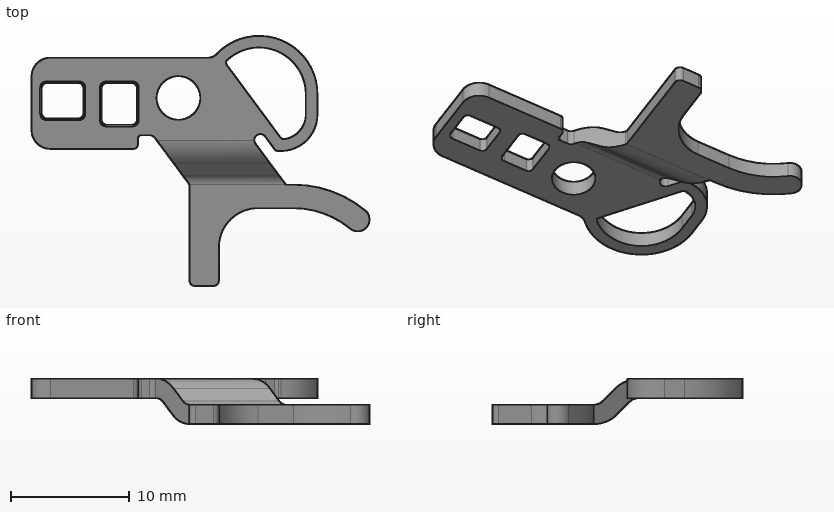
import cadquery as cq
import math


thickness = 1.65
step_down = 2.18
bend_angle = math.radians(45)
bend_inner_radius = 1.05
bend_outer_radius = bend_inner_radius + thickness
bend_start_y = -3.55
head_bottom_z = step_down
head_top_z = step_down + thickness

pivot_diameter = 3.66
head_left_x = -12.38
head_top_y = 3.4
head_bottom_y = -4.3
head_corner_radius = 1.6
notch_x = -3.4
notch_top_y = -3.15
notch_mouth_radius = 0.4
notch_root_radius = 0.25
strip_root_x = -2.14
strip_root_radius = 0.6

window_long = 3.5
window_short = 2.97
window_corner_radius = 0.42
window_chamfer = 0.16
window_top_y = 1.25
window_centers_x = (-9.75, -4.98)

loop_x = 6.79
loop_y = 0.31
loop_radius = 4.93
loop_wall = 1.0
loop_right_x = loop_x + loop_radius
loop_lower_radius = 3.1
loop_lower_x = loop_right_x - loop_lower_radius
loop_lower_y = -1.38
loop_lower_middle_angle = math.radians(-45)
loop_bottom_y = loop_lower_y - loop_lower_radius
loop_web_distance = 0.71
neck_radius = 1.0
loop_tip_radius = 0.4
loop_window_upper_radius = 0.3
loop_window_lower_radius = 0.4

slant_angle = math.radians(-53.5)
slant_x = math.cos(slant_angle)
slant_y = math.sin(slant_angle)
slot_width = 1.0
slot_length = 4.0

tail_left_x = 0.92
tail_width = 2.5
tail_bottom_y = -15.85
tail_corner_radius = 0.5
tail_shoulder_radius = 0.4
tail_inner_radius = 3.27
blade_top_y = -7.29
blade_width = 2.0
blade_bend_x = 9.68
blade_bend_radius = 8.5
blade_sweep = math.radians(39.6)


def slant_run(drop):
    """X travel of a slanted line that falls by drop."""
    return -drop * slant_x / slant_y


slot_axis_distance = loop_web_distance + loop_wall + slot_width / 2
slot_end_y = bend_start_y
slot_end_x = loop_x + slot_axis_distance / slant_y + slant_run(loop_y - slot_end_y)


def round_corner(body, corner, radius):
    """Fillet the vertical edge of body nearest to the corner (x, y)."""
    middle_z = body.val().BoundingBox().center.z
    selector = cq.selectors.NearestToPointSelector((corner[0], corner[1], middle_z))
    return body.edges("|Z").edges(selector).fillet(radius)


def polar(center_x, center_y, radius, angle):
    """Point at the given angle on a circle."""
    return (center_x + radius * math.cos(angle), center_y + radius * math.sin(angle))


def make_head():
    """Upper flat plate, from the left end to the loop and back to the bend line."""
    neck_x = loop_x - math.sqrt(loop_radius**2 - (head_top_y - loop_y) ** 2)
    lower_arc_middle = polar(loop_lower_x, loop_lower_y, loop_lower_radius, loop_lower_middle_angle)
    loop_tip_x = slot_end_x + slant_run(slot_end_y - loop_bottom_y)
    strip_x = strip_root_x + slant_run(notch_top_y - bend_start_y)
    head = (
        cq.Workplane("XY", origin=(0, 0, head_bottom_z))
        .moveTo(head_left_x, head_top_y)
        .lineTo(neck_x, head_top_y)
        .threePointArc((loop_x, loop_y + loop_radius), (loop_right_x, loop_y))
        .lineTo(loop_right_x, loop_lower_y)
        .threePointArc(lower_arc_middle, (loop_lower_x, loop_bottom_y))
        .lineTo(loop_tip_x, loop_bottom_y)
        .lineTo(slot_end_x, slot_end_y)
        .lineTo(strip_x, bend_start_y)
        .lineTo(strip_root_x, notch_top_y)
        .lineTo(notch_x, notch_top_y)
        .lineTo(notch_x, head_bottom_y)
        .lineTo(head_left_x, head_bottom_y)
        .close()
        .extrude(thickness)
    )
    head = round_corner(head, (head_left_x, head_top_y), head_corner_radius)
    head = round_corner(head, (head_left_x, head_bottom_y), head_corner_radius)
    head = round_corner(head, (neck_x, head_top_y), neck_radius)
    head = round_corner(head, (notch_x, head_bottom_y), notch_mouth_radius)
    head = round_corner(head, (notch_x, notch_top_y), notch_root_radius)
    head = round_corner(head, (strip_root_x, notch_top_y), strip_root_radius)
    return head


def make_bend_profile(width):
    """Joggled sheet cross-section in YZ, extruded along X over the given width."""
    sin_bend = math.sin(bend_angle)
    cos_bend = math.cos(bend_angle)
    arc_drop = (bend_inner_radius + bend_outer_radius) * (1 - cos_bend)
    ramp_run = (step_down - arc_drop) / math.tan(bend_angle)
    bend_run = (bend_inner_radius + bend_outer_radius) * sin_bend + ramp_run
    bend_end_y = bend_start_y - bend_run
    upper_center_z = head_top_z - bend_outer_radius
    lower_center_z = bend_outer_radius
    up = math.pi / 2

    def upper_arc(radius, share):
        return polar(bend_start_y, upper_center_z, radius, up + share * bend_angle)

    def lower_arc(radius, share):
        return polar(bend_end_y, lower_center_z, radius, share * bend_angle - up)

    return (
        cq.Workplane("YZ", origin=(head_left_x, 0, 0))
        .moveTo(*upper_arc(bend_outer_radius, 0))
        .threePointArc(upper_arc(bend_outer_radius, 0.5), upper_arc(bend_outer_radius, 1))
        .lineTo(*lower_arc(bend_inner_radius, 1))
        .threePointArc(lower_arc(bend_inner_radius, 0.5), lower_arc(bend_inner_radius, 0))
        .lineTo(tail_bottom_y, thickness)
        .lineTo(tail_bottom_y, 0)
        .lineTo(bend_end_y, 0)
        .threePointArc(lower_arc(bend_outer_radius, 0.5), lower_arc(bend_outer_radius, 1))
        .lineTo(*upper_arc(bend_inner_radius, 1))
        .threePointArc(upper_arc(bend_inner_radius, 0.5), upper_arc(bend_inner_radius, 0))
        .close()
        .extrude(width)
    )


def make_tail():
    """Slanted strip, tail and curved blade, cut from the joggled sheet."""
    strip_left_x = strip_root_x + slant_run(notch_top_y - bend_start_y)
    shoulder_y = notch_top_y + (tail_left_x - strip_root_x) * slant_y / slant_x
    slot_side_x = slot_end_x + slant_y * slot_width / 2
    slot_side_y = slot_end_y - slant_x * slot_width / 2
    blade_root_x = slot_side_x + slant_run(slot_side_y - blade_top_y)
    blade_bottom_y = blade_top_y - blade_width
    tail_right_x = tail_left_x + tail_width

    blade_center_y = blade_top_y - blade_width / 2 - blade_bend_radius
    blade_outer_radius = blade_bend_radius + blade_width / 2
    blade_inner_radius = blade_bend_radius - blade_width / 2
    up = math.pi / 2

    def blade_point(radius, share):
        return polar(blade_bend_x, blade_center_y, radius, up - share * blade_sweep)

    tip_center = blade_point(blade_bend_radius, 1)
    tip_end = polar(*tip_center, blade_width / 2, -blade_sweep)

    outline = (
        cq.Workplane("XY")
        .moveTo(strip_left_x, bend_start_y)
        .lineTo(slot_end_x, slot_end_y)
        .lineTo(slot_side_x, slot_side_y)
        .lineTo(blade_root_x, blade_top_y)
        .lineTo(blade_bend_x, blade_top_y)
        .threePointArc(blade_point(blade_outer_radius, 0.5), blade_point(blade_outer_radius, 1))
        .threePointArc(tip_end, blade_point(blade_inner_radius, 1))
        .threePointArc(blade_point(blade_inner_radius, 0.5), (blade_bend_x, blade_bottom_y))
        .lineTo(tail_right_x, blade_bottom_y)
        .lineTo(tail_right_x, tail_bottom_y)
        .lineTo(tail_left_x, tail_bottom_y)
        .lineTo(tail_left_x, shoulder_y)
        .close()
        .extrude(head_top_z)
    )
    outline = round_corner(outline, (tail_left_x, shoulder_y), tail_shoulder_radius)
    outline = round_corner(outline, (tail_left_x, tail_bottom_y), tail_corner_radius)
    outline = round_corner(outline, (tail_right_x, tail_bottom_y), tail_corner_radius)
    outline = round_corner(outline, (tail_right_x, blade_bottom_y), tail_inner_radius)
    blade_reach_x = tip_center[0] + blade_width
    return outline.intersect(make_bend_profile(blade_reach_x - head_left_x))


def make_slot():
    """Round-ended slot that frees the loop from the strip."""
    middle_x = slot_end_x + slant_x * slot_length / 2
    middle_y = slot_end_y + slant_y * slot_length / 2
    return (
        cq.Workplane("XY")
        .center(middle_x, middle_y)
        .slot2D(slot_length + slot_width, slot_width, math.degrees(slant_angle))
        .extrude(head_top_z)
    )


def make_loop_window():
    """Opening inside the loop, closed by a straight slanted web."""
    upper_radius = loop_radius - loop_wall
    lower_radius = loop_lower_radius - loop_wall
    right_x = loop_right_x - loop_wall

    lower_offset = (loop_lower_x - loop_x) * slant_y - (loop_lower_y - loop_y) * slant_x
    lower_web_distance = loop_web_distance - lower_offset
    upper_half_chord = math.sqrt(upper_radius**2 - loop_web_distance**2)
    lower_half_chord = math.sqrt(lower_radius**2 - lower_web_distance**2)
    upper_corner = (
        loop_x + loop_web_distance * slant_y - upper_half_chord * slant_x,
        loop_y - loop_web_distance * slant_x - upper_half_chord * slant_y,
    )
    lower_corner = (
        loop_lower_x + lower_web_distance * slant_y + lower_half_chord * slant_x,
        loop_lower_y - lower_web_distance * slant_x + lower_half_chord * slant_y,
    )
    lower_arc_middle = polar(loop_lower_x, loop_lower_y, lower_radius, loop_lower_middle_angle)
    window = (
        cq.Workplane("XY", origin=(0, 0, head_bottom_z))
        .moveTo(*upper_corner)
        .threePointArc((loop_x, loop_y + upper_radius), (right_x, loop_y))
        .lineTo(right_x, loop_lower_y)
        .threePointArc(lower_arc_middle, lower_corner)
        .close()
        .extrude(thickness)
    )
    window = round_corner(window, upper_corner, loop_window_upper_radius)
    return round_corner(window, lower_corner, loop_window_lower_radius)


def cut_window(body, center_x, size_x, size_y):
    """Cut a rounded rectangular opening through body and chamfer its top edge."""
    center_y = window_top_y - size_y / 2
    opening = (
        cq.Workplane("XY", origin=(center_x, center_y, head_bottom_z))
        .rect(size_x, size_y)
        .extrude(thickness)
        .edges("|Z")
        .fillet(window_corner_radius)
    )
    reach_x = size_x / 2 + window_chamfer
    reach_y = size_y / 2 + window_chamfer
    rim_selector = cq.selectors.BoxSelector(
        (center_x - reach_x, center_y - reach_y, head_top_z - window_chamfer),
        (center_x + reach_x, center_y + reach_y, head_top_z + window_chamfer),
    )
    return body.cut(opening).edges(rim_selector).chamfer(window_chamfer)


def make_pivot_hole():
    return cq.Workplane("XY").circle(pivot_diameter / 2).extrude(head_top_z)


def round_loop_tip(body):
    """Round the free lower corner of the loop at the slot mouth."""
    slot_edge_x = slot_end_x - slot_width / 2 / slant_y
    tip_x = slot_edge_x + slant_run(slot_end_y - loop_bottom_y)
    return round_corner(body, (tip_x, loop_bottom_y), loop_tip_radius)


result = make_head().union(make_tail()).cut(make_slot())
result = round_loop_tip(result)
result = result.cut(make_pivot_hole()).cut(make_loop_window())
result = cut_window(result, window_centers_x[0], window_long, window_short)
result = cut_window(result, window_centers_x[1], window_short, window_long)